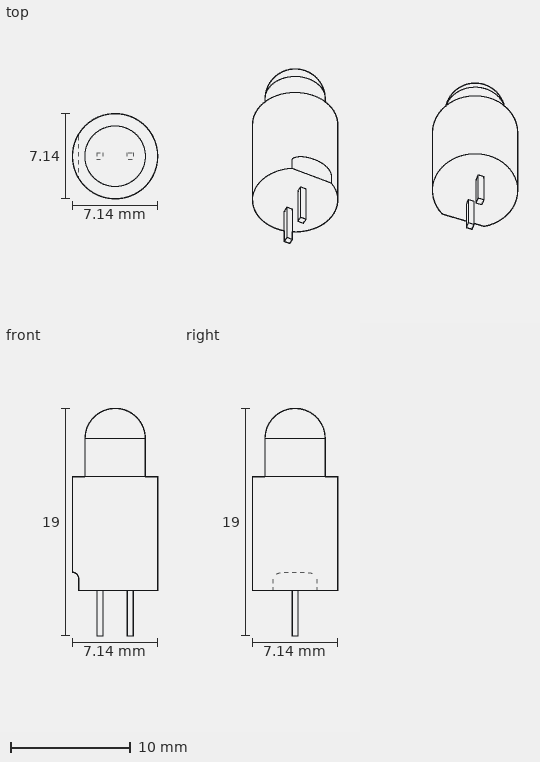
import cadquery as cq

overall_height = 19.04
pin_length = 3.8
housing_height = 9.52
dome_radius = 2.53
lens_height = overall_height - pin_length - housing_height - dome_radius

housing_diameter = 7.14
housing_radius = housing_diameter / 2
flat_depth = 0.51
flat_height = 1.52
flat_x = -housing_radius + flat_depth

pin_width = 0.51
pin_pitch = 2.53

housing_top = housing_height
lens_top = housing_top + lens_height


def make_housing():
    """Upright cylinder with a flat at the foot of its -X side, rounded out at the top."""
    body = cq.Workplane("XY").circle(housing_radius).extrude(housing_height)
    cutter = (
        cq.Workplane("XZ")
        .moveTo(flat_x, 0)
        .lineTo(flat_x, flat_height - flat_depth)
        .radiusArc((-housing_radius, flat_height), -flat_depth)
        .lineTo(-housing_radius, 0)
        .close()
        .extrude(housing_radius, both=True)
    )
    return body.cut(cutter)


def make_lens_barrel():
    """Plain cylinder standing on the housing."""
    return cq.Workplane("XY").workplane(offset=housing_top).circle(dome_radius).extrude(lens_height)


def make_dome():
    """Hemisphere resting on the flat top of the lens barrel."""
    return (
        cq.Workplane("XZ")
        .moveTo(0, lens_top)
        .lineTo(dome_radius, lens_top)
        .radiusArc((0, lens_top + dome_radius), -dome_radius)
        .close()
        .revolve(360, (0, 0, 0), (0, 1, 0))
    )


def make_pin(x):
    """Square pin hanging from the underside of the housing."""
    return cq.Workplane("XY").center(x, 0).rect(pin_width, pin_width).extrude(-pin_length)


housing = make_housing()
lens_barrel = make_lens_barrel()
dome = make_dome()
pins = [make_pin(side * pin_pitch / 2) for side in (-1, 1)]

result = cq.Compound.makeCompound(
    [housing.val(), lens_barrel.val(), dome.val(), *[pin.val() for pin in pins]]
)